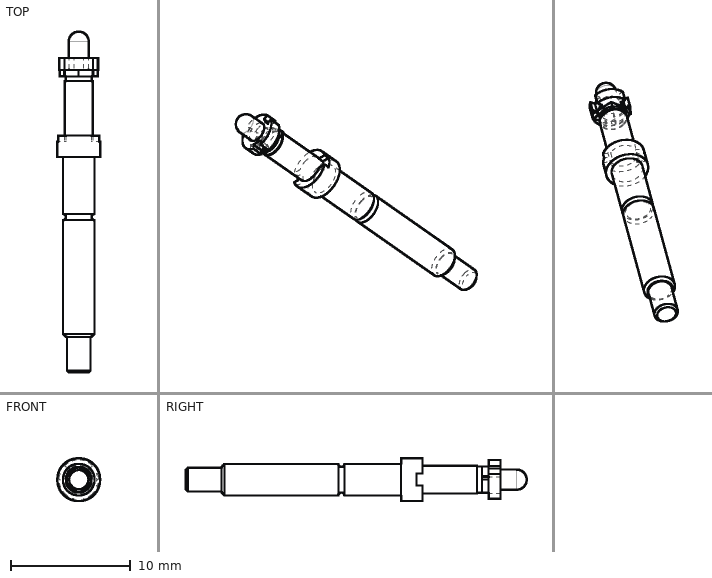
import cadquery as cq

TOTAL_LENGTH = 28.5

TIP_RADIUS = 0.85

FLANGE_RADIUS = 1.65
FLANGE_START = 2.2
FLANGE_END = 3.2
NOTCH_WIDTH = 0.8
NOTCH_FLOOR = 1.15
NOTCH_ANGLES = (30, 150, 270)

DIAMOND_HALF_WIDTH = 1.6
DIAMOND_HALF_HEIGHT = 1.1
DIAMOND_END = 3.75

NECK_RADIUS = 1.1
NECK_END = 4.15

BARREL_RADIUS = 1.175

COLLAR_RADIUS = 1.8
COLLAR_START = 8.7
COLLAR_END = 10.5
KEYWAY_WIDTH = 1.0
KEYWAY_DEPTH = 0.5

SLEEVE_RADIUS = 1.325
SLEEVE_END = 25.5
SLEEVE_CHAMFER = 0.25
GROOVE_CENTER = 15.5
GROOVE_RADIUS = 0.25

TAIL_RADIUS = 1.0
TAIL_CHAMFER = 0.2


def station(distance):
    """Y coordinate of a point at the given distance behind the tip."""
    return TOTAL_LENGTH - distance


def cylinder(radius, start, end):
    """Round section about the pin axis between two stations."""
    return cq.Workplane("XZ", origin=(0, station(start), 0)).circle(radius).extrude(end - start)


def make_tip():
    shaft = cylinder(TIP_RADIUS, TIP_RADIUS, FLANGE_START)
    dome = cq.Workplane("XY", origin=(0, station(TIP_RADIUS), 0)).sphere(TIP_RADIUS)
    return shaft.union(dome)


def make_notch(angle):
    """Radial cutter for one flat-floored notch through the flange and diamond."""
    length = DIAMOND_END - FLANGE_START
    depth = FLANGE_RADIUS
    cutter = cq.Workplane("XY").box(depth, length, NOTCH_WIDTH, centered=(False, False, True))
    cutter = cutter.translate((NOTCH_FLOOR, station(DIAMOND_END), 0))
    return cutter.rotate((0, 0, 0), (0, 1, 0), -angle)


def make_head():
    """Three-notched flange backed by a diamond-shaped plate."""
    flange = cylinder(FLANGE_RADIUS, FLANGE_START, FLANGE_END)
    diamond = (
        cq.Workplane("XZ", origin=(0, station(FLANGE_END), 0))
        .moveTo(DIAMOND_HALF_WIDTH, 0)
        .lineTo(0, DIAMOND_HALF_HEIGHT)
        .lineTo(-DIAMOND_HALF_WIDTH, 0)
        .lineTo(0, -DIAMOND_HALF_HEIGHT)
        .close()
        .extrude(DIAMOND_END - FLANGE_END)
    )
    head = flange.union(diamond)
    for angle in NOTCH_ANGLES:
        head = head.cut(make_notch(angle))
    return head


def make_collar():
    """Collar with a keyway across its front face, open at both X sides."""
    collar = cylinder(COLLAR_RADIUS, COLLAR_START, COLLAR_END)
    keyway = (
        cq.Workplane("XY", origin=(0, station(COLLAR_START), 0))
        .box(2 * COLLAR_RADIUS, 2 * KEYWAY_DEPTH, KEYWAY_WIDTH)
    )
    return collar.cut(keyway)


def make_sleeve():
    """Main sleeve with a chamfered rear end and a round-bottomed groove."""
    sleeve = cylinder(SLEEVE_RADIUS, COLLAR_END, SLEEVE_END).faces("<Y").chamfer(SLEEVE_CHAMFER)
    groove = (
        cq.Workplane("XY")
        .center(SLEEVE_RADIUS, station(GROOVE_CENTER))
        .circle(GROOVE_RADIUS)
        .revolve(360, (-SLEEVE_RADIUS, 0), (-SLEEVE_RADIUS, 1))
    )
    return sleeve.cut(groove)


def make_tail():
    return cylinder(TAIL_RADIUS, SLEEVE_END, TOTAL_LENGTH).faces("<Y").chamfer(TAIL_CHAMFER)


neck = cylinder(NECK_RADIUS, DIAMOND_END, NECK_END)
barrel = cylinder(BARREL_RADIUS, NECK_END, COLLAR_END)

result = make_tip()
for section in (make_head(), neck, barrel, make_collar(), make_sleeve(), make_tail()):
    result = result.union(section)